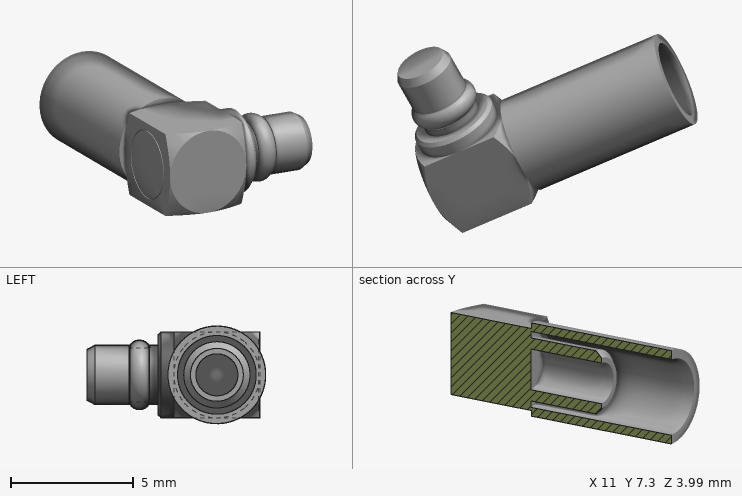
import cadquery as cq
import math

overall_length = 10.99
sleeve_length = 7.0
sleeve_radius = 1.995
bore_radius = 1.6

block_side = 3.51
block_half = block_side / 2
block_length = overall_length - sleeve_length
block_center_x = sleeve_length + block_length / 2
corner_radius = block_half * math.sqrt(2)
turned_angle = 30.0

post_length = 3.52
post_radius = 1.35
post_hole_radius = 0.86
post_chamfer = 0.27

cap_radius = 1.41
cap_groove_width = 0.04
cap_groove_depth = 0.05

collar_top_y = 2.41
collar_chamfer = 0.13
pin_radius = 1.21
pin_tip_y = sleeve_radius + 3.31
pin_tip_length = 0.33
pin_tip_inset = 0.18

ring_center_y = 3.15
ring_outer_radius = 1.42
ring_width = 0.77
ring_side_gap = 0.03
ring_groove_width = ring_width + 2 * ring_side_gap
ring_groove_floor_radius = 1.1


def x_cylinder(start_x, length, radius):
    """Cylinder on the sleeve axis."""
    return cq.Workplane("YZ", origin=(start_x, 0, 0)).circle(radius).extrude(length)


def y_cylinder(start_y, length, radius):
    """Cylinder on the plug axis, growing toward +Y."""
    return cq.Workplane("XZ", origin=(block_center_x, start_y, 0)).circle(radius).extrude(-length)


def make_block():
    """Square block cut to a turned blank whose ends taper down to the face width."""
    square = cq.Workplane("XY").box(block_length, block_side, block_side)
    square = square.translate((block_center_x, 0, 0))
    taper_length = (corner_radius - block_half) * math.tan(math.radians(turned_angle))
    turned_blank = (
        cq.Workplane("XY")
        .moveTo(sleeve_length, 0)
        .lineTo(sleeve_length, block_half)
        .lineTo(sleeve_length + taper_length, corner_radius)
        .lineTo(overall_length - taper_length, corner_radius)
        .lineTo(overall_length, block_half)
        .lineTo(overall_length, 0)
        .close()
        .revolve(360, (0, 0, 0), (1, 0, 0))
    )
    return square.intersect(turned_blank)


def make_sleeve():
    """Open tube ending at the block."""
    tube = x_cylinder(0, sleeve_length, sleeve_radius)
    return tube.cut(x_cylinder(0, sleeve_length, bore_radius))


def make_post():
    """Hollow post with a chamfered free end, standing on the block inside the sleeve."""
    start_x = sleeve_length - post_length
    post = x_cylinder(start_x, post_length, post_radius).faces("<X").chamfer(post_chamfer)
    return post.cut(x_cylinder(start_x, post_length, post_hole_radius))


def make_cap_groove():
    """Ring of material removed around the cap."""
    outer = y_cylinder(-block_half, cap_groove_depth, cap_radius + cap_groove_width)
    return outer.cut(y_cylinder(-block_half, cap_groove_depth, cap_radius))


def make_plug():
    """Chamfered collar and grooved pin with a tapered tip."""
    collar = y_cylinder(block_half, collar_top_y - block_half, block_half)
    collar = collar.faces(">Y").chamfer(collar_chamfer)
    pin = y_cylinder(collar_top_y, pin_tip_y - collar_top_y, pin_radius)
    pin = pin.faces(">Y").edges().chamfer(pin_tip_length, pin_tip_inset)
    groove_start_y = ring_center_y - ring_groove_width / 2
    groove = y_cylinder(groove_start_y, ring_groove_width, pin_radius)
    groove = groove.cut(y_cylinder(groove_start_y, ring_groove_width, ring_groove_floor_radius))
    return collar.union(pin.cut(groove))


def make_connector_body():
    """Block, sleeve, cable post and plug as one solid."""
    body = make_block().union(make_sleeve()).union(make_post()).union(make_plug())
    return body.cut(make_cap_groove())


def make_snap_ring():
    """Flat-sided ring on the groove floor, with a rounded rim that bulges beyond the pin."""
    start_y = ring_center_y - ring_width / 2
    end_y = ring_center_y + ring_width / 2
    inner_x = block_center_x + ring_groove_floor_radius
    rim_x = block_center_x + pin_radius
    crown = (block_center_x + ring_outer_radius, ring_center_y)
    return (
        cq.Workplane("XY")
        .moveTo(inner_x, start_y)
        .lineTo(rim_x, start_y)
        .threePointArc(crown, (rim_x, end_y))
        .lineTo(inner_x, end_y)
        .close()
        .revolve(360, (block_center_x, 0, 0), (block_center_x, 1, 0))
    )


connector_body = make_connector_body()
snap_ring = make_snap_ring()

result = cq.Compound.makeCompound([connector_body.solids().val(), snap_ring.val()])